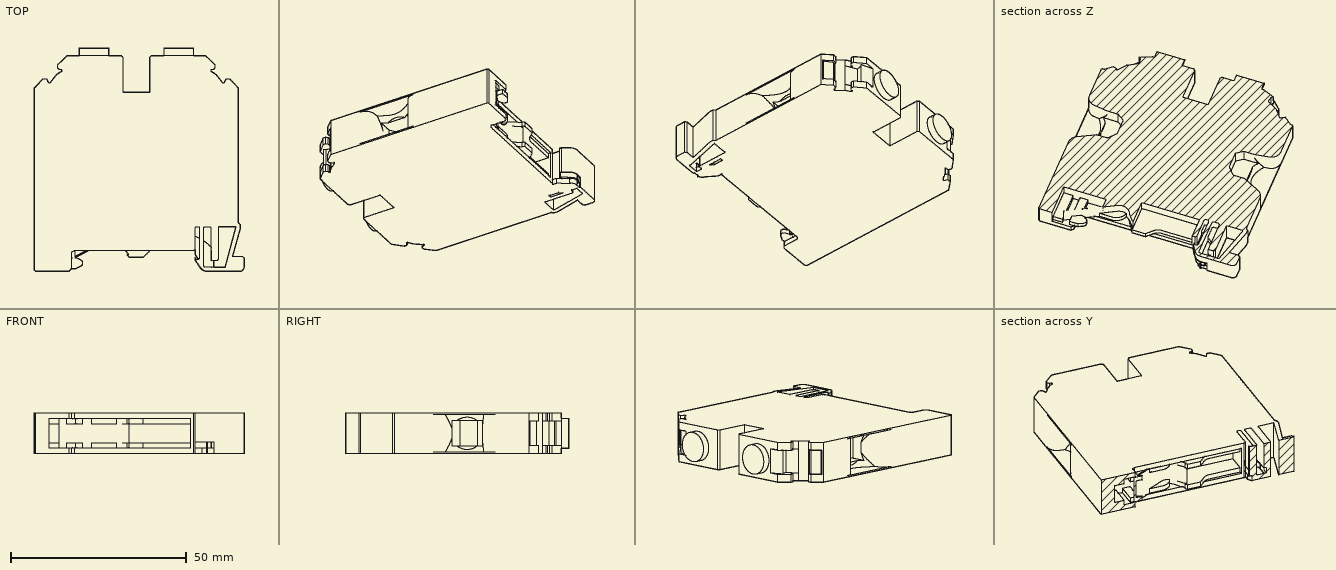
import cadquery as cq
import math


THICKNESS = 11.6
MID_Z = THICKNESS / 2
BODY_WIDTH = 58.1
MID_X = BODY_WIDTH / 2
TOP_Y = 61.4
TOTAL_HEIGHT = 63.5
TOTAL_WIDTH = 59.76

CENTRE_SLOT_WIDTH = 7.56
CENTRE_SLOT_FLOOR_Y = 51.0
CENTRE_SLOT_CHAMFER = 0.5

SHOULDER_Y = 52.2
SHOULDER_TOP_X = 9.35
MARKER_POCKET_HEIGHT = 7.0

SCREW_OFFSET = 12.05
SCREW_RADIUS = 4.25
SCREW_DEPTH = 2.0

ENTRY_LOW_Y = 24.95
ENTRY_HIGH_Y = 42.47
ENTRY_HEIGHT = 10.7
ENTRY_DEPTH = 6.7
ENTRY_HIGH_RADIUS = 3.0
ENTRY_LOW_RADIUS = 3.0
ENTRY_LOW_SWEEP = math.radians(60)
THROAT_LOW_Y = 30.2
THROAT_HIGH_Y = 38.9
THROAT_HEIGHT = 7.3
THROAT_DEPTH = 12.0
THROAT_STEP_LOW_Y = 32.5
THROAT_STEP_HIGH_Y = 37.5
THROAT_STEP_DEPTH = 2.0
CONE_START_RADIUS = 11.2
CONE_END_RADIUS = 4.6

RAIL_Y = 5.9
LEFT_FOOT_X = 10.62
BASE_TOP_Y = 13.93
CLIP_X = 45.8
FOOT_CHAMFER = 0.7
FOOT_ROUND = 0.4
RAIL_CORNER_CHAMFER = 0.5

CAVITY_LEFT_X = 4.25
CAVITY_RIGHT_X = 44.4
CAVITY_LOW_Z = 1.65
CAVITY_HIGH_Z = 9.96
CAVITY_DEEP_Y = 12.0
CHAMBER_TOP_Y = 9.6
CHAMBER_RIGHT_X = 17.0
DIVIDER_X = 27.0
DIVIDER_LOW_Y = 4.6
DIVIDER_TOP = (25.1, 7.0)
STRIP_START = (7.1, 1.5)
STRIP_SLOPE = 0.525
STRIP_THICKNESS = 0.4
STRIP_END_X = 20.8
PLATE_THICKNESS = 1.45

CLIP_WALL = 1.25
CLIP_GAP_TOP_Y = 12.7
CLIP_GAP_Z = 3.3
NARROW_GAP_WIDTH = 1.27
NARROW_GAP_LOW_Y = 3.5
WIDE_GAP_LEFT_X = 48.2
WIDE_GAP_RIGHT_X = 50.3
ARM_RIGHT_X = 52.46
ARM_LOW_Y = 3.07
KEEPER_RIGHT_X = 51.1
SPACER_RIGHT_X = 50.4
KEEPER_TOP_Y = 9.95
KEEPER_ARC_MID = (48.6, 8.45)
KEEPER_ARC_LOW_Y = 5.9
TOE_Y = 3.15
TOE_SLOPE_END = (47.0, 1.3)
TOE_ARC_MID = (47.9, 0.35)
TOE_ARC_END_X = 49.3
PLATE_INSET = 0.8
SPACER_INSET = 0.2
TAB_TOP_Y = 4.25
TAB_ROUND = 1.3
TAB_CHAMFER = 0.5
SPRING_LEG_X = 58.65


def prism(outline, z_low=0.0, z_high=THICKNESS):
    """Extrude a closed workplane outline between two heights."""
    return outline.close().extrude(z_high - z_low).translate((0, 0, z_low))


def polygon(points, z_low=0.0, z_high=THICKNESS):
    return prism(cq.Workplane("XY").polyline(points), z_low, z_high)


def box(x_low, x_high, y_low, y_high, z_low=0.0, z_high=THICKNESS):
    size = (x_high - x_low, y_high - y_low, z_high - z_low)
    return cq.Workplane("XY").box(*size, centered=False).translate((x_low, y_low, z_low))


def mirrored(shape):
    """Copy of a shape on the other side of the body centre plane."""
    return shape.mirror("YZ", (MID_X, 0, 0))


def upper_housing():
    slot_x = MID_X - CENTRE_SLOT_WIDTH / 2
    half = [
        (0, BASE_TOP_Y),
        (0, SHOULDER_Y),
        (2.5, 54.8),
        (3.55, 54.8),
        (4.15, 53.6),
        (4.5, 53.7),
        (6.3, 56.0),
        (7.8, 57.0),
        (7.8, 57.4),
        (7.1, 57.4),
        (6.6, 58.0),
        (6.6, 58.75),
        (SHOULDER_TOP_X, TOP_Y),
        (slot_x - CENTRE_SLOT_CHAMFER, TOP_Y),
        (slot_x, TOP_Y - CENTRE_SLOT_CHAMFER),
        (slot_x, CENTRE_SLOT_FLOOR_Y),
    ]
    other_half = [(BODY_WIDTH - x, y) for x, y in reversed(half)]
    return polygon(half + other_half)


def shoulder_marker_pocket():
    """Recess in the middle of the left shoulder that holds a marker tag."""
    z_low = MID_Z - MARKER_POCKET_HEIGHT / 2
    floor_y = 56.0
    open_x = 5.0
    upper_cut = [
        (12.2, TOP_Y),
        (8.7, 59.9),
        (9.2, 59.4),
        (9.5, 57.9),
        (6.3, floor_y),
        (open_x, floor_y),
        (open_x, TOP_Y),
    ]
    lower_cut = [(4.3, 53.8), (3.0, 54.35), (0.8, 52.5), (0.2, 52.5), (0.2, floor_y), (4.3, floor_y)]
    pocket = polygon(upper_cut, z_low, z_low + MARKER_POCKET_HEIGHT)
    return pocket.union(polygon(lower_cut, z_low, z_low + MARKER_POCKET_HEIGHT))


def screw(x):
    length = TOTAL_HEIGHT - TOP_Y + SCREW_DEPTH
    plane = cq.Workplane("XZ", origin=(x, TOTAL_HEIGHT, MID_Z))
    return plane.circle(SCREW_RADIUS).extrude(length)


def wire_entry():
    """Flared mouth, conical guide and rectangular throat on the left side."""
    high = ENTRY_HIGH_RADIUS
    low = ENTRY_LOW_RADIUS
    low_arc_x = low * (1 - math.cos(ENTRY_LOW_SWEEP))
    low_arc_y = ENTRY_LOW_Y + low * math.sin(ENTRY_LOW_SWEEP)
    plan = (
        cq.Workplane("XY")
        .moveTo(0, ENTRY_HIGH_Y)
        .radiusArc((high, ENTRY_HIGH_Y - high), -high)
        .lineTo(ENTRY_DEPTH, THROAT_HIGH_Y)
        .lineTo(ENTRY_DEPTH, THROAT_LOW_Y)
        .lineTo(low_arc_x, low_arc_y)
        .radiusArc((0, ENTRY_LOW_Y), -low)
    )
    z_low = MID_Z - ENTRY_HEIGHT / 2
    throat_y = (THROAT_LOW_Y + THROAT_HIGH_Y) / 2
    cone = cq.Solid.makeCone(
        CONE_START_RADIUS,
        CONE_END_RADIUS,
        ENTRY_DEPTH,
        cq.Vector(0, throat_y, MID_Z),
        cq.Vector(1, 0, 0),
    )
    mouth = prism(plan, z_low, z_low + ENTRY_HEIGHT).intersect(cq.Workplane(cone))

    step_x = THROAT_DEPTH - THROAT_STEP_DEPTH
    throat = polygon(
        [
            (ENTRY_HIGH_RADIUS, THROAT_LOW_Y),
            (ENTRY_HIGH_RADIUS, THROAT_HIGH_Y),
            (step_x, THROAT_HIGH_Y),
            (THROAT_DEPTH, THROAT_STEP_HIGH_Y),
            (THROAT_DEPTH, THROAT_STEP_LOW_Y),
            (step_x, THROAT_LOW_Y),
        ],
        MID_Z - THROAT_HEIGHT / 2,
        MID_Z + THROAT_HEIGHT / 2,
    )
    return mouth.union(throat)


def base_housing():
    outline = [
        (0, BASE_TOP_Y),
        (0, FOOT_ROUND),
        (FOOT_ROUND, 0),
        (LEFT_FOOT_X - FOOT_CHAMFER, 0),
        (LEFT_FOOT_X, FOOT_CHAMFER),
        (LEFT_FOOT_X, RAIL_Y - FOOT_ROUND),
        (LEFT_FOOT_X + 2 * FOOT_ROUND, RAIL_Y),
        (CLIP_X - RAIL_CORNER_CHAMFER, RAIL_Y),
        (CLIP_X, RAIL_Y + RAIL_CORNER_CHAMFER / 2),
        (CLIP_X, BASE_TOP_Y),
    ]
    return polygon(outline)


def clip_outline():
    """Springy snap clip with its release tab, before the gaps are cut."""
    return (
        cq.Workplane("XY")
        .moveTo(CLIP_X, BASE_TOP_Y)
        .lineTo(CLIP_X, TOE_Y)
        .lineTo(*TOE_SLOPE_END)
        .threePointArc(TOE_ARC_MID, (TOE_ARC_END_X, 0))
        .lineTo(TOTAL_WIDTH - TAB_ROUND, 0)
        .radiusArc((TOTAL_WIDTH, TAB_ROUND), -TAB_ROUND)
        .lineTo(TOTAL_WIDTH, TAB_TOP_Y - TAB_CHAMFER)
        .lineTo(TOTAL_WIDTH - TAB_CHAMFER, TAB_TOP_Y)
        .lineTo(56.45, TAB_TOP_Y)
        .lineTo(SPRING_LEG_X, 12.1)
        .lineTo(SPRING_LEG_X, 13.3)
        .lineTo(BODY_WIDTH, BASE_TOP_Y)
    )


def clip_gaps():
    """Narrow gap, wide gap and triangular window that free the clip arm."""
    narrow_right_x = CLIP_X + NARROW_GAP_WIDTH
    narrow = box(CLIP_X, narrow_right_x, NARROW_GAP_LOW_Y, CLIP_GAP_TOP_Y).edges("|Z").fillet(FOOT_ROUND)
    wide = box(WIDE_GAP_LEFT_X, WIDE_GAP_RIGHT_X, CLIP_WALL, CLIP_GAP_TOP_Y).edges("|Z").fillet(FOOT_ROUND)
    window = polygon(
        [
            (WIDE_GAP_RIGHT_X - NARROW_GAP_WIDTH, CLIP_WALL),
            (54.3, CLIP_WALL),
            (57.35, CLIP_GAP_TOP_Y),
            (ARM_RIGHT_X, CLIP_GAP_TOP_Y),
            (ARM_RIGHT_X, ARM_LOW_Y + FOOT_ROUND),
            (ARM_RIGHT_X - FOOT_ROUND, ARM_LOW_Y),
            (WIDE_GAP_RIGHT_X - NARROW_GAP_WIDTH, ARM_LOW_Y),
        ]
    )
    return narrow.union(wide).union(window)


def keeper_clearance():
    """Lower part of the clip removed below an arc to make room for the keeper plate."""
    outline = (
        cq.Workplane("XY")
        .moveTo(CLIP_X, 0)
        .lineTo(CLIP_X, KEEPER_TOP_Y)
        .threePointArc(KEEPER_ARC_MID, (KEEPER_RIGHT_X, KEEPER_ARC_LOW_Y))
        .lineTo(KEEPER_RIGHT_X, 0)
    )
    return prism(outline, CAVITY_LOW_Z, CLIP_GAP_Z)


def keeper_layer(inset, right_x, z_low, z_high):
    """Flat layer under the clip whose lower-left edge is the clip's, moved inward."""
    rise = inset / 2
    slope_x, slope_y = TOE_SLOPE_END
    arc_x, arc_y = TOE_ARC_MID
    outline = (
        cq.Workplane("XY")
        .moveTo(CLIP_X, KEEPER_TOP_Y)
        .lineTo(CLIP_X, TOE_Y + 2 * inset)
        .lineTo(slope_x + inset, slope_y + rise)
        .threePointArc((arc_x + rise, arc_y + rise), (TOE_ARC_END_X, rise))
        .lineTo(right_x, rise)
        .lineTo(right_x, KEEPER_ARC_LOW_Y)
        .threePointArc(KEEPER_ARC_MID, (CLIP_X, KEEPER_TOP_Y))
    )
    return prism(outline, z_low, z_high)


def keeper_plate():
    """Thin housing wall that closes the underside of the clip, with a spacer above it."""
    plate = keeper_layer(PLATE_INSET, KEEPER_RIGHT_X, 0, CAVITY_LOW_Z)
    spacer = keeper_layer(SPACER_INSET, SPACER_RIGHT_X, CAVITY_LOW_Z, CLIP_GAP_Z).cut(clip_gaps())
    gap_floor = box(CLIP_X, WIDE_GAP_RIGHT_X, KEEPER_ARC_LOW_Y, CLIP_GAP_TOP_Y, 0, CLIP_GAP_Z)
    return plate.union(spacer).union(gap_floor.cut(keeper_clearance()))


def strip_y(x):
    """Height of the rail-facing surface of the inclined spring strip."""
    return STRIP_START[1] + STRIP_SLOPE * (x - STRIP_START[0])


def foot_cavity():
    """Pocket behind the rail face, bounded by the spring strip, the divider and a deep bay."""
    outline = (
        cq.Workplane("XY")
        .moveTo(CAVITY_LEFT_X, 0)
        .lineTo(CAVITY_LEFT_X, CHAMBER_TOP_Y)
        .lineTo(CHAMBER_RIGHT_X, CHAMBER_TOP_Y)
        .lineTo(CHAMBER_RIGHT_X, strip_y(CHAMBER_RIGHT_X))
        .lineTo(STRIP_END_X, strip_y(STRIP_END_X))
        .threePointArc((23.5, 8.8), DIVIDER_TOP)
        .lineTo(DIVIDER_X, DIVIDER_LOW_Y)
        .lineTo(DIVIDER_X, CAVITY_DEEP_Y)
        .lineTo(CAVITY_RIGHT_X, CAVITY_DEEP_Y)
        .lineTo(CAVITY_RIGHT_X, 0)
    )
    return prism(outline, CAVITY_LOW_Z, CAVITY_HIGH_Z)


def spring_strip():
    """Inclined sheet across the cavity, ending free behind the hooks."""
    start_x, start_y = STRIP_START
    end_y = strip_y(CHAMBER_RIGHT_X)
    points = [
        (start_x, start_y),
        (CHAMBER_RIGHT_X, end_y),
        (CHAMBER_RIGHT_X, end_y + STRIP_THICKNESS),
        (start_x, start_y + STRIP_THICKNESS),
    ]
    return polygon(points, CAVITY_LOW_Z, CAVITY_HIGH_Z)


def divider_tip():
    """Part of the divider that stands proud of the rail face."""
    top_x, top_y = DIVIDER_TOP
    rail_x = top_x + (DIVIDER_X - top_x) * (top_y - RAIL_Y) / (top_y - DIVIDER_LOW_Y)
    points = [(rail_x, RAIL_Y), (DIVIDER_X, DIVIDER_LOW_Y), (DIVIDER_X, RAIL_Y)]
    return polygon(points, CAVITY_LOW_Z, CAVITY_HIGH_Z)


def foot_plate(z_low):
    """Stamped metal side plate: hook, tongue, centre tooth with long edge, and rear tabs."""
    z_high = z_low + PLATE_THICKNESS
    hook_left_x = 9.2
    hook_right_x = 11.6
    hook_low_y = FOOT_CHAMFER
    hook = (
        cq.Workplane("XY")
        .moveTo(hook_left_x, hook_low_y)
        .lineTo(11.75, hook_low_y)
        .lineTo(13.1, 1.4)
        .threePointArc((13.8, 2.4), (13.1, 3.35))
        .lineTo(12.1, 3.85)
        .lineTo(hook_right_x, strip_y(hook_right_x))
        .lineTo(hook_left_x, strip_y(hook_left_x))
    )
    tongue_y = 6.3
    tongue = (
        cq.Workplane("XY")
        .moveTo(15.8, tongue_y)
        .lineTo(20.6, tongue_y)
        .threePointArc((22.6, 7.3), (23.6, CHAMBER_TOP_Y))
        .lineTo(CHAMBER_RIGHT_X, CHAMBER_TOP_Y)
    )
    tooth_y = 4.0
    long_edge_y = 6.7
    tooth = (
        cq.Workplane("XY")
        .moveTo(*DIVIDER_TOP)
        .lineTo(26.8, 4.85)
        .lineTo(26.45, 4.7)
        .lineTo(DIVIDER_X, tooth_y)
        .lineTo(31.0, tooth_y)
        .lineTo(32.7, 5.7)
        .threePointArc((33.6, 6.4), (35.2, long_edge_y))
        .lineTo(CAVITY_RIGHT_X, long_edge_y)
        .lineTo(CAVITY_RIGHT_X, CAVITY_DEEP_Y)
        .lineTo(DIVIDER_TOP[0], CAVITY_DEEP_Y)
    )
    rear_tab = box(CAVITY_LEFT_X, STRIP_START[0], FOOT_CHAMFER, CHAMBER_TOP_Y, z_low, z_high)
    upright = box(hook_left_x, hook_right_x, strip_y(hook_right_x), CHAMBER_TOP_Y, z_low, z_high)
    plate = prism(hook, z_low, z_high)
    for part in (prism(tongue, z_low, z_high), prism(tooth, z_low, z_high), rear_tab, upright):
        plate = plate.union(part)
    return plate


def build():
    body = upper_housing()
    for feature in (shoulder_marker_pocket(), wire_entry()):
        body = body.cut(feature).cut(mirrored(feature))
    for side in (-1, 1):
        body = body.union(screw(MID_X + side * SCREW_OFFSET))

    clip = prism(clip_outline()).cut(clip_gaps())
    keeper_room = box(CLIP_X, KEEPER_RIGHT_X, 0, KEEPER_TOP_Y, 0, CAVITY_LOW_Z)
    clip = clip.cut(keeper_room).cut(keeper_clearance()).union(keeper_plate())

    base = base_housing().cut(foot_cavity()).union(spring_strip()).union(divider_tip())
    for z_low in (CAVITY_LOW_Z, CAVITY_HIGH_Z - PLATE_THICKNESS):
        base = base.union(foot_plate(z_low))
    return body.union(base).union(clip)


result = build()